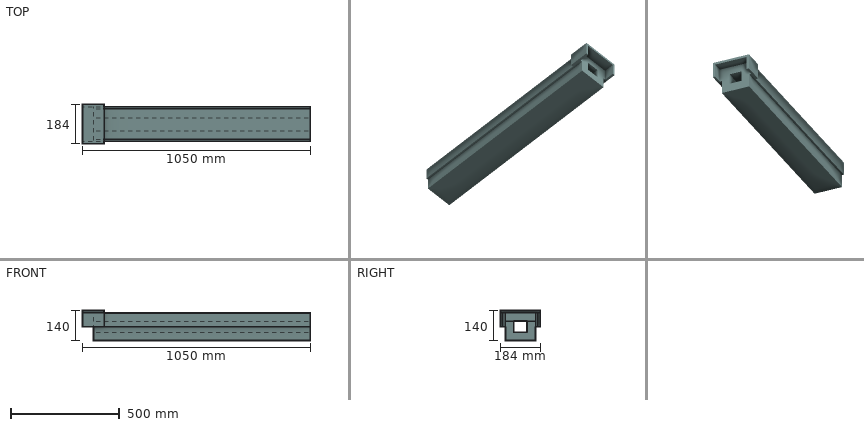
import cadquery as cq

total_length = 1050.0
cap_length = 100.0
cap_overhang = cap_length / 2
beam_length = total_length - cap_overhang

channel_width = 140.0
channel_height = 90.0
groove_width = 60.0
groove_depth = 50.0
lid_thickness = 38.0
strip_thickness = 10.0
beam_height = channel_height + lid_thickness
strip_height = beam_height / 2

cap_thickness = 12.0
cheek_inner_y = channel_width / 2 + strip_thickness
cap_width = 2 * (cheek_inner_y + cap_thickness)
cheek_height = strip_height


def block(length, width, height, x_start, y_center, z_bottom):
    """Box placed by its front end, its middle across Y and its underside."""
    return cq.Workplane("XY").box(length, width, height, centered=(False, True, False)).translate(
        (x_start, y_center, z_bottom)
    )


def make_channel():
    """Beam body with a groove open at the top along its whole length."""
    body = block(beam_length, channel_width, channel_height, cap_overhang, 0, 0)
    groove_floor = channel_height - groove_depth
    groove = block(beam_length, groove_width, groove_depth, cap_overhang, 0, groove_floor)
    return body.cut(groove)


def make_lid():
    """Flat board covering the groove."""
    return block(beam_length, channel_width, lid_thickness, cap_overhang, 0, channel_height)


def make_side_strip(side):
    """Strip against the upper half of one beam side."""
    y_center = side * (channel_width + strip_thickness) / 2
    z_bottom = beam_height - strip_height
    return block(beam_length, strip_thickness, strip_height, cap_overhang, y_center, z_bottom)


def make_cap_plate():
    """Top plate of the cap, resting on the beam and both cheeks."""
    return block(cap_length, cap_width, cap_thickness, 0, 0, beam_height)


def make_cap_cheek(side):
    """Side plate of the cap, against the outside of one strip."""
    y_center = side * (cheek_inner_y + cap_thickness / 2)
    return block(cap_length, cap_thickness, cheek_height, 0, y_center, beam_height - cheek_height)


channel = make_channel()
lid = make_lid()
cap_plate = make_cap_plate()
sides = (-1, 1)
side_strips = [make_side_strip(side).val() for side in sides]
cap_cheeks = [make_cap_cheek(side).val() for side in sides]

result = cq.Compound.makeCompound(
    [channel.val(), lid.val(), *side_strips, cap_plate.val(), *cap_cheeks]
)